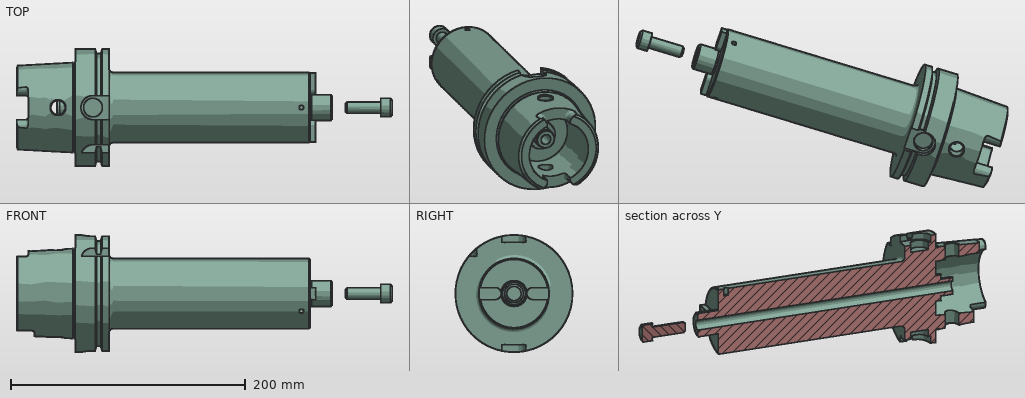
import cadquery as cq
import math


flange_x = 50.0
flange_length = 28.8
body_end_x = 250.0
spigot_length = 19.0
bolt_end_x = 320.0
flange_end_x = flange_x + flange_length
spigot_end_x = body_end_x + spigot_length

tip_radius = 36.0
gauge_radius = 38.5
tip_chamfer_length = 1.0
tip_chamfer_height = 2.2
relief_length = 2.2
relief_depth = 1.0
relief_foot_radius = 39.5
mouth_radius = 53.0 / 2
mouth_depth = 18.5
cavity_floor_radius = 24.5
access_hole_diameter = 12.0
access_rim_diameter = 13.5
access_rim_depth = 1.5
access_hole_x = 35.2

drive_slot_width = 20.5
drive_slot_corner = 2.2
drive_slot_flare = 6.0
drive_slot_flare_z = 25.5
top_slot_depth = 10.0
bottom_slot_depth = 15.0

tube_tip_x = 34.2
tube_tip_length = 2.5
tube_tip_radius = 15.5 / 2
tube_radius = 16.0 / 2
tube_collar_radius = 24.0 / 2
tube_collar_length = 4.8
coolant_bore_diameter = 8.5

flange_radius = 100.0 / 2
groove_center_x = 69.8
groove_mouth_width = 6.0
groove_floor_width = 3.5
groove_floor_radius = 46.0
keyway_width = 20.5
keyway_center_x = 65.0
keyway_floor_z = 43.5
keyway_hole_diameter = 16.0
keyway_hole_depth = 6.5
notch_offset = 31.7

body_radius = 60.0 / 2
body_fillet = 3.5
body_chamfer = 1.0
set_hole_diameter = 4.0
set_hole_depth = 6.5
set_hole_x = 242.5
set_hole_count = 3

spigot_radius = 22.0 / 2
spigot_neck_radius = 21.8 / 2
spigot_neck_length = 1.5
spigot_chamfer = 1.3
key_width = 10.2
key_height = 4.8
key_outer_radius = 29.8

bolt_shank_radius = 10.0 / 2
bolt_shank_length = 30.0
bolt_tip_chamfer = 1.5
bolt_head_radius = 16.0 / 2
bolt_head_length = 10.0
bolt_head_chamfer_length = 1.5
bolt_head_face_radius = 12.0 / 2


def revolve_about_x(points):
    """Turn a closed (x, radius) outline about the X axis."""
    return cq.Workplane("XY").polyline(points).close().revolve(360, (0, 0, 0), (1, 0, 0))


def cylinder_along_x(start_x, end_x, radius):
    return cq.Workplane("YZ", origin=(start_x, 0, 0)).circle(radius).extrude(end_x - start_x)


def vertical_cylinder(x, bottom_z, top_z, diameter):
    return cq.Workplane("XY", origin=(x, 0, bottom_z)).circle(diameter / 2).extrude(top_z - bottom_z)


def make_shank():
    relief_radius = gauge_radius - relief_depth
    relief_x = flange_x - relief_length
    outline = [
        (0, 0),
        (0, tip_radius - tip_chamfer_height),
        (tip_chamfer_length, tip_radius),
        (relief_x, gauge_radius),
        (relief_x + relief_depth / 2, relief_radius),
        (flange_x - relief_depth, relief_radius),
        (flange_x, relief_foot_radius),
        (flange_x, 0),
    ]
    return revolve_about_x(outline)


def make_flange():
    groove = revolve_about_x([
        (groove_center_x - groove_mouth_width / 2, flange_radius),
        (groove_center_x - groove_floor_width / 2, groove_floor_radius),
        (groove_center_x + groove_floor_width / 2, groove_floor_radius),
        (groove_center_x + groove_mouth_width / 2, flange_radius),
    ])
    return cylinder_along_x(flange_x, flange_end_x, flange_radius).cut(groove)


def make_body():
    body = cylinder_along_x(flange_end_x, body_end_x, body_radius)
    return body.faces(">X").chamfer(body_chamfer)


def make_body_fillet():
    """Concave ring that blends the body into the rear of the flange."""
    outer = body_radius + body_fillet
    middle = body_fillet * (1 - math.sqrt(0.5))
    return (
        cq.Workplane("XY")
        .moveTo(flange_end_x, 0)
        .lineTo(flange_end_x, outer)
        .threePointArc(
            (flange_end_x + middle, body_radius + middle),
            (flange_end_x + body_fillet, body_radius),
        )
        .lineTo(flange_end_x + body_fillet, 0)
        .close()
        .revolve(360, (0, 0, 0), (1, 0, 0))
    )


def make_spigot():
    neck = cylinder_along_x(body_end_x, body_end_x + spigot_neck_length, spigot_neck_radius)
    nose = cylinder_along_x(body_end_x + spigot_neck_length, spigot_end_x, spigot_radius)
    return neck.union(nose.faces(">X").chamfer(spigot_chamfer))


def make_keys():
    """Two drive keys on the body end, each with a rounded inner end."""
    round_radius = key_width / 2
    round_center_y = spigot_neck_radius + round_radius
    limit = cylinder_along_x(body_end_x, body_end_x + key_height, key_outer_radius)
    keys = []
    for side in (-1, 1):
        key = (
            cq.Workplane("YZ", origin=(body_end_x, 0, 0))
            .moveTo(side * body_radius, round_radius)
            .lineTo(side * round_center_y, round_radius)
            .threePointArc((side * spigot_neck_radius, 0), (side * round_center_y, -round_radius))
            .lineTo(side * body_radius, -round_radius)
            .close()
            .extrude(key_height)
        )
        keys.append(key.intersect(limit))
    return keys


def make_cavity():
    return revolve_about_x([
        (0, 0),
        (0, mouth_radius),
        (mouth_depth, mouth_radius),
        (flange_x, cavity_floor_radius),
        (flange_x, 0),
    ])


def cut_access_holes(part):
    """Radial hole through both shank walls, with a shallow wider rim at each outer end."""
    hole = vertical_cylinder(access_hole_x, -flange_radius, flange_radius, access_hole_diameter)
    rim_z = gauge_radius - access_rim_depth
    rim = vertical_cylinder(access_hole_x, rim_z, flange_radius, access_rim_diameter)
    return part.cut(hole).cut(rim).cut(rim.mirror("XY"))


def make_coolant_tube():
    tip_end_x = tube_tip_x + tube_tip_length
    tip = cylinder_along_x(tube_tip_x, tip_end_x, tube_tip_radius)
    tube = cylinder_along_x(tip_end_x, flange_x, tube_radius)
    collar = cylinder_along_x(flange_x - tube_collar_length, flange_x, tube_collar_radius)
    return tip.union(tube).union(collar)


def make_drive_slot(side, depth):
    """Slot through one shank wall; its walls flare outward in an arc near the outside."""
    half = drive_slot_width / 2
    flare_top = drive_slot_flare_z + drive_slot_flare
    outer_half = half + drive_slot_flare
    bend = drive_slot_flare * math.sqrt(0.5)
    slot = (
        cq.Workplane("YZ")
        .moveTo(-half, 0)
        .lineTo(-half, side * drive_slot_flare_z)
        .threePointArc(
            (-outer_half + bend, side * (drive_slot_flare_z + bend)),
            (-outer_half, side * flare_top),
        )
        .lineTo(-gauge_radius, side * flare_top)
        .lineTo(-gauge_radius, side * flange_radius)
        .lineTo(gauge_radius, side * flange_radius)
        .lineTo(gauge_radius, side * flare_top)
        .lineTo(outer_half, side * flare_top)
        .threePointArc(
            (outer_half - bend, side * (drive_slot_flare_z + bend)),
            (half, side * drive_slot_flare_z),
        )
        .lineTo(half, 0)
        .close()
        .extrude(depth)
    )
    wall_edges = slot.faces(">X").edges("|Z").filter(lambda edge: abs(edge.Center().y) < outer_half)
    return wall_edges.fillet(drive_slot_corner)


def make_flange_slot(center_y, floor_z):
    """Milled slot with a round end, open toward the rear of the flange and upward."""
    height = flange_radius - floor_z
    plane = cq.Workplane("XY", origin=(keyway_center_x, center_y, floor_z))
    ahead = flange_end_x - keyway_center_x
    straight = plane.center(ahead / 2, 0).rect(ahead, keyway_width).extrude(height)
    return straight.union(plane.circle(keyway_width / 2).extrude(height))


def cut_flange_slots(part):
    top_keyway = make_flange_slot(0, keyway_floor_z).union(
        vertical_cylinder(
            keyway_center_x, keyway_floor_z - keyway_hole_depth, flange_radius, keyway_hole_diameter
        )
    )
    bottom_keyway = top_keyway.mirror("XY")
    notch = make_flange_slot(-notch_offset - keyway_width / 2, notch_offset)
    return part.cut(top_keyway).cut(bottom_keyway).cut(notch)


def cut_set_holes(part):
    hole = vertical_cylinder(set_hole_x, body_radius - set_hole_depth, flange_radius, set_hole_diameter)
    for index in range(set_hole_count):
        part = part.cut(hole.rotate((0, 0, 0), (1, 0, 0), index * 360 / set_hole_count))
    return part


def make_holder():
    holder = make_shank().union(make_flange()).union(make_body()).union(make_body_fillet())
    holder = holder.union(make_spigot())
    for key in make_keys():
        holder = holder.union(key)
    holder = holder.cut(make_cavity())
    holder = holder.cut(make_drive_slot(1, top_slot_depth))
    holder = holder.cut(make_drive_slot(-1, bottom_slot_depth))
    holder = cut_access_holes(holder)
    holder = cut_flange_slots(holder)
    holder = cut_set_holes(holder)
    holder = holder.union(make_coolant_tube())
    return holder.cut(cylinder_along_x(0, spigot_end_x, coolant_bore_diameter / 2))


def make_bolt():
    head_x = bolt_end_x - bolt_head_length
    shank = cylinder_along_x(head_x - bolt_shank_length, head_x, bolt_shank_radius)
    shank = shank.faces("<X").chamfer(bolt_tip_chamfer)
    head = revolve_about_x([
        (head_x, 0),
        (head_x, bolt_head_radius),
        (bolt_end_x - bolt_head_chamfer_length, bolt_head_radius),
        (bolt_end_x, bolt_head_face_radius),
        (bolt_end_x, 0),
    ])
    return shank.union(head)


holder = make_holder()
bolt = make_bolt()
result = cq.Compound.makeCompound([holder.val(), bolt.val()])